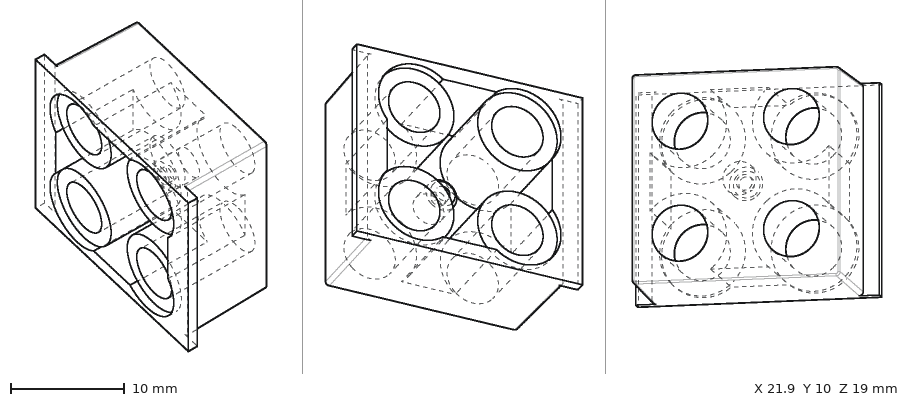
import cadquery as cq
import math

width = 21.9
height = 19.0
depth = 10.03
flange_thickness = 1.0

draft_angle = 1.0
corner_radius = 0.35
end_edge_radius = 0.18

cavity_side = 16.03
cavity_corner_radius = 1.5
floor_thickness = 1.5
tube_pitch = 10.0
tube_diameter = 7.7
bore_diameter = 5.0
tube_recess = 0.8

pin_diameter = 3.0
pin_height = 3.0
pin_chamfer = 0.3
pin_hole_diameter = 1.4
pin_hole_depth = 1.0

floor_y = depth - floor_thickness


def section(y):
    """Workplane at depth y, extruding towards the closed end."""
    return cq.Workplane(cq.Plane(origin=(0, y, 0), xDir=(-1, 0, 0), normal=(0, 1, 0)))


def cylinders(diameter, start_y, end_y):
    """One cylinder on each tube axis."""
    axes = section(start_y).rect(tube_pitch, tube_pitch, forConstruction=True).vertices()
    return axes.circle(diameter / 2).extrude(end_y - start_y)


def make_body():
    body = section(0).rect(height, height).extrude(depth, taper=draft_angle)
    body = body.edges("not(<Y or >Y)").fillet(corner_radius)
    return body.faces(">Y").edges().fillet(end_edge_radius)


def make_flange():
    """Full-width flange whose upper and lower faces continue the body's drafted faces."""
    back_half_height = height / 2 - flange_thickness * math.tan(math.radians(draft_angle))
    profile = [
        (0, -height / 2),
        (flange_thickness, -back_half_height),
        (flange_thickness, back_half_height),
        (0, height / 2),
    ]
    return cq.Workplane("YZ").polyline(profile).close().extrude(width / 2, both=True)


def make_pin():
    pin = section(floor_y - pin_height).circle(pin_diameter / 2).extrude(pin_height)
    pin = pin.faces("<Y").edges().chamfer(pin_chamfer)
    hole = section(floor_y - pin_height).circle(pin_hole_diameter / 2).extrude(pin_hole_depth)
    return pin.cut(hole)


cavity = section(0).rect(cavity_side, cavity_side).extrude(floor_y)
cavity = cavity.edges("|Y").fillet(cavity_corner_radius)

result = make_flange().union(make_body()).clean().cut(cavity)
result = result.cut(cylinders(tube_diameter, 0, tube_recess))
result = result.union(cylinders(tube_diameter, tube_recess, floor_y))
result = result.union(make_pin())
result = result.cut(cylinders(bore_diameter, 0, depth))